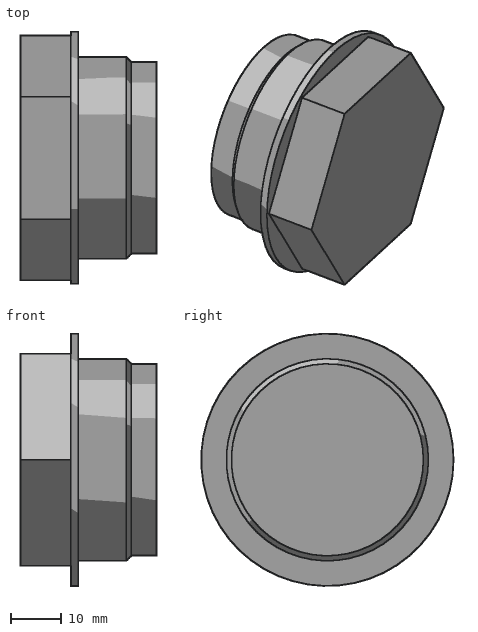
import cadquery as cq
import math

across_flats = 42
across_corners = across_flats / math.cos(math.radians(30))
head_length = 10

flange_diameter = 50
flange_thickness = 1.5

body_diameter = 40
nose_diameter = 38
nose_length = 5
taper_length = (body_diameter - nose_diameter) / 2
total_length = 27

flange_end = head_length + flange_thickness
nose_start = total_length - nose_length
taper_start = nose_start - taper_length


def make_head():
    """Hexagonal prism with two corners on the Y axis."""
    return cq.Workplane("YZ").polygon(6, across_corners).extrude(head_length)


def make_turned_section():
    """Flange, body, taper and nose revolved about the X axis."""
    profile = [
        (head_length, 0),
        (head_length, flange_diameter / 2),
        (flange_end, flange_diameter / 2),
        (flange_end, body_diameter / 2),
        (taper_start, body_diameter / 2),
        (nose_start, nose_diameter / 2),
        (total_length, nose_diameter / 2),
        (total_length, 0),
    ]
    return cq.Workplane("XY").polyline(profile).close().revolve(360, (0, 0, 0), (1, 0, 0))


result = make_head().union(make_turned_section())